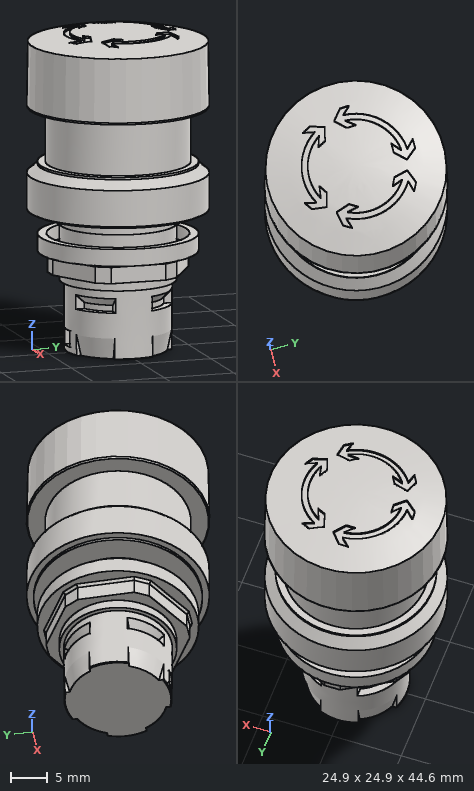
import cadquery as cq
import math

BODY_TOP = 9.72
HEX_BOTTOM = 11.1
HEX_FLARE_START = 13.36
FLANGE_BOTTOM = 13.78
FLANGE_TOP = 16.14
NECK_STEP = 17.53
BEZEL_BOTTOM = 19.17
BEZEL_LIP_TOP = 19.58
BEZEL_TOP = 26.14
CAP_BOTTOM = 33.75
CAP_EDGE = 42.9
TOTAL_HEIGHT = 44.59

BODY_TOP_DIAMETER = 14.8
BODY_BOTTOM_DIAMETER = 14.7
LOWER_NECK_DIAMETER = 16.0
UPPER_NECK_DIAMETER = 16.01
FLANGE_DIAMETER = 22.0
BEZEL_DIAMETER = 24.9
BEZEL_LIP_DIAMETER = 23.0
BEZEL_TOP_DIAMETER = 22.0
STEM_DIAMETER = 19.85

BEZEL_RIM_HEIGHT = 0.3
BEZEL_SHOULDER_HEIGHT = 1.23

GROOVE_DIAMETER = 19.5
GROOVE_DEPTH = 2.0

END_CHAMFER = 0.12

CAP_FACETS = 36
CAP_CORNER_ANGLE = 6.7
CAP_DIAMETER = 24.99
CAP_TAPER_ANGLE = 1.0
CAP_CHAMFER_HEIGHT = 0.28
CAP_CHAMFER_WIDTH = 0.15

HEX_ACROSS_FLATS = 18.0
HEX_ACROSS_CORNER_FLATS = 19.5
HEX_FLARE = 0.3

KEY_REACH = 9.5
KEY_WIDTH = 1.6

WINDOW_BOTTOM = 6.5
WINDOW_TOP = 8.51
WINDOW_OFFSET = 2.6
WINDOW_BACK_RADIUS = 6.25
NOTCH_TOP = 2.94
NOTCH_OFFSET = 2.7
NOTCH_END_RADIUS = 6.74

POCKET_WIDTH = 2.2
POCKET_BOTTOM = 0.94
POCKET_TOP = 3.2
POCKET_BACK = 6.0

ARROW_COUNT = 3
ARROW_CENTER_ANGLE = 17.0
ARROW_HALF_SPAN = 53.75
ARROW_RADIUS = 7.0
ARROW_SHAFT_WIDTH = 0.84
ARROW_DEPTH = 0.25
HEAD_HALF_WIDTH = 1.5
HEAD_SHOULDER = 1.35
HEAD_BARB = 2.65
HEAD_NOTCH = 1.45
HEAD_LAG_ANGLE = 6.7

CLEARANCE = 2.0


def cylinder(diameter, bottom, top):
    return cq.Workplane("XY").workplane(offset=bottom).circle(diameter / 2).extrude(top - bottom)


def revolve_profile(points):
    """Turn a closed outline of (radius, height) points around Z."""
    return cq.Workplane("XZ").polyline(points).close().revolve(360, (0, 0, 0), (0, 1, 0))


def make_body():
    return revolve_profile([
        (0, 0),
        (BODY_BOTTOM_DIAMETER / 2 - END_CHAMFER, 0),
        (BODY_BOTTOM_DIAMETER / 2, END_CHAMFER),
        (BODY_TOP_DIAMETER / 2, BODY_TOP),
        (0, BODY_TOP),
    ])


def make_bezel():
    rim_bottom = BEZEL_TOP - BEZEL_RIM_HEIGHT
    return revolve_profile([
        (0, BEZEL_BOTTOM),
        (BEZEL_LIP_DIAMETER / 2, BEZEL_BOTTOM),
        (BEZEL_LIP_DIAMETER / 2, BEZEL_LIP_TOP),
        (BEZEL_DIAMETER / 2, BEZEL_LIP_TOP),
        (BEZEL_DIAMETER / 2, rim_bottom - BEZEL_SHOULDER_HEIGHT),
        (BEZEL_TOP_DIAMETER / 2, rim_bottom),
        (BEZEL_TOP_DIAMETER / 2, BEZEL_TOP),
        (0, BEZEL_TOP),
    ])


def hexagon(across_flats, turn):
    """Closed hexagon outline; a turn of 0 puts flats on the +X and -X sides."""
    corner_radius = across_flats / math.sqrt(3)
    angles = [math.radians(turn + 30 + 60 * i) for i in range(6)]
    points = [(corner_radius * math.cos(a), corner_radius * math.sin(a)) for a in angles]
    return cq.Workplane("XY").polyline(points).close()


def truncated_hexagon(growth, bottom, top, taper):
    flats = hexagon(HEX_ACROSS_FLATS + 2 * growth, 0).extrude(top - bottom, taper=taper)
    corner_flats = hexagon(HEX_ACROSS_CORNER_FLATS + 2 * growth, 30).extrude(top - bottom, taper=taper)
    return flats.intersect(corner_flats).translate((0, 0, bottom))


def make_hex():
    """Hexagonal section whose top edge flares out under the flange."""
    flare_angle = math.degrees(math.atan2(HEX_FLARE, FLANGE_BOTTOM - HEX_FLARE_START))
    prism = truncated_hexagon(0, HEX_BOTTOM, HEX_FLARE_START, 0)
    return prism.union(truncated_hexagon(0, HEX_FLARE_START, FLANGE_BOTTOM, -flare_angle))


def make_groove():
    return (
        cq.Workplane("XY")
        .workplane(offset=FLANGE_TOP - GROOVE_DEPTH)
        .circle(GROOVE_DIAMETER / 2)
        .circle(LOWER_NECK_DIAMETER / 2)
        .extrude(GROOVE_DEPTH)
    )


def make_key():
    height = BEZEL_BOTTOM - NECK_STEP
    return (
        cq.Workplane("XY")
        .box(KEY_WIDTH, KEY_REACH, height, centered=(True, False, False))
        .translate((0, 0, NECK_STEP))
    )


def dome_radius():
    cap_top_radius = CAP_DIAMETER / 2 - (CAP_EDGE - CAP_BOTTOM) * math.tan(math.radians(CAP_TAPER_ANGLE))
    rise = TOTAL_HEIGHT - CAP_EDGE
    return (cap_top_radius ** 2 + rise ** 2) / (2 * rise)


def dome_ball(depth):
    """Ball whose surface lies the given depth below the dome of the cap."""
    radius = dome_radius()
    return cq.Workplane("XY").sphere(radius - depth).translate((0, 0, TOTAL_HEIGHT - radius))


def cap_outline(diameter, height):
    return cq.Workplane("XY").workplane(offset=height).polygon(CAP_FACETS, diameter)


def make_cap():
    chamfer_top = CAP_BOTTOM + CAP_CHAMFER_HEIGHT
    chamfer = (
        cap_outline(CAP_DIAMETER - 2 * CAP_CHAMFER_WIDTH, CAP_BOTTOM)
        .workplane(offset=CAP_CHAMFER_HEIGHT)
        .polygon(CAP_FACETS, CAP_DIAMETER)
        .loft(ruled=True)
    )
    wall = cap_outline(CAP_DIAMETER, chamfer_top).extrude(TOTAL_HEIGHT - chamfer_top, taper=CAP_TAPER_ANGLE)
    cap = chamfer.union(wall).rotate((0, 0, 0), (0, 0, 1), CAP_CORNER_ANGLE)
    return cap.intersect(dome_ball(0))


def in_quadrants(tool):
    """Copies of a tool from the +X +Y quadrant in all four quadrants."""
    copies = tool
    for angle in (90, 180, 270):
        copies = copies.union(tool.rotate((0, 0, 0), (0, 0, 1), angle))
    return copies


def quadrant_block(offset):
    """Block filling the +X +Y quadrant beyond the offset from both axes."""
    size = BODY_TOP_DIAMETER
    return (
        cq.Workplane("XY")
        .box(size, size, 3 * BODY_TOP, centered=(False, False, True))
        .translate((offset, offset, 0))
    )


def make_windows():
    """Curved pockets with a ceiling that slopes down inward at 45 degrees."""
    mouth_radius = BODY_TOP_DIAMETER / 2
    ceiling_drop = mouth_radius - WINDOW_BACK_RADIUS
    ring = revolve_profile([
        (WINDOW_BACK_RADIUS, WINDOW_BOTTOM),
        (mouth_radius + CLEARANCE, WINDOW_BOTTOM),
        (mouth_radius + CLEARANCE, WINDOW_TOP),
        (mouth_radius, WINDOW_TOP),
        (WINDOW_BACK_RADIUS, WINDOW_TOP - ceiling_drop),
    ])
    return in_quadrants(ring.intersect(quadrant_block(WINDOW_OFFSET)))


def make_notches():
    """Conical cuts that run out into the body wall above the lower end."""
    taper = (BODY_TOP_DIAMETER - BODY_BOTTOM_DIAMETER) / 2 / BODY_TOP
    runout_radius = BODY_BOTTOM_DIAMETER / 2 + taper * NOTCH_TOP
    ring = revolve_profile([
        (NOTCH_END_RADIUS, 0),
        (runout_radius + CLEARANCE, 0),
        (runout_radius + CLEARANCE, NOTCH_TOP),
        (runout_radius, NOTCH_TOP),
    ])
    return in_quadrants(ring.intersect(quadrant_block(NOTCH_OFFSET)))


def make_pocket():
    length = BODY_TOP_DIAMETER / 2 + CLEARANCE - POCKET_BACK
    return (
        cq.Workplane("XY")
        .box(POCKET_WIDTH, length, POCKET_TOP - POCKET_BOTTOM, centered=(True, False, False))
        .translate((0, -POCKET_BACK - length, POCKET_BOTTOM))
    )


def make_arrow():
    """Flat arrow centred on the +X axis, standing through the dome."""
    height = TOTAL_HEIGHT + CLEARANCE - CAP_EDGE
    half_shaft = ARROW_SHAFT_WIDTH / 2
    inner = ARROW_RADIUS - half_shaft
    outer = ARROW_RADIUS + half_shaft
    shaft_end = math.radians(ARROW_HALF_SPAN) - (HEAD_NOTCH + HEAD_SHOULDER) / 2 / ARROW_RADIUS
    end_x = math.cos(shaft_end)
    end_y = math.sin(shaft_end)
    shaft = (
        cq.Workplane("XY")
        .moveTo(inner * end_x, -inner * end_y)
        .threePointArc((inner, 0), (inner * end_x, inner * end_y))
        .lineTo(outer * end_x, outer * end_y)
        .threePointArc((outer, 0), (outer * end_x, -outer * end_y))
        .close()
        .extrude(height)
    )
    tip_angle = math.radians(ARROW_HALF_SPAN)
    head = (
        cq.Workplane("XY")
        .polyline([
            (0, 0),
            (-HEAD_HALF_WIDTH, -HEAD_SHOULDER),
            (-HEAD_HALF_WIDTH, -HEAD_BARB),
            (-half_shaft, -HEAD_NOTCH),
            (half_shaft, -HEAD_NOTCH),
            (HEAD_HALF_WIDTH, -HEAD_BARB),
            (HEAD_HALF_WIDTH, -HEAD_SHOULDER),
        ])
        .close()
        .extrude(height)
        .rotate((0, 0, 0), (0, 0, 1), ARROW_HALF_SPAN - HEAD_LAG_ANGLE)
        .translate((ARROW_RADIUS * math.cos(tip_angle), ARROW_RADIUS * math.sin(tip_angle), 0))
    )
    arrow = shaft.union(head).union(head.mirror("XZ"))
    return arrow.translate((0, 0, CAP_EDGE))


def engrave_arrows(part):
    arrow = make_arrow().cut(dome_ball(ARROW_DEPTH))
    for i in range(ARROW_COUNT):
        angle = ARROW_CENTER_ANGLE + i * 360 / ARROW_COUNT
        part = part.cut(arrow.rotate((0, 0, 0), (0, 0, 1), angle))
    return part


result = make_body()
result = result.union(cylinder(LOWER_NECK_DIAMETER, BODY_TOP, NECK_STEP))
result = result.union(make_hex())
result = result.union(cylinder(FLANGE_DIAMETER, FLANGE_BOTTOM, FLANGE_TOP))
result = result.union(cylinder(UPPER_NECK_DIAMETER, NECK_STEP, BEZEL_BOTTOM))
result = result.union(make_key())
result = result.union(make_bezel())
result = result.union(cylinder(STEM_DIAMETER, BEZEL_TOP, CAP_BOTTOM))
result = result.union(make_cap())

result = result.cut(make_groove())
result = result.cut(make_windows())
result = result.cut(make_notches())
result = result.cut(make_pocket())
result = engrave_arrows(result)